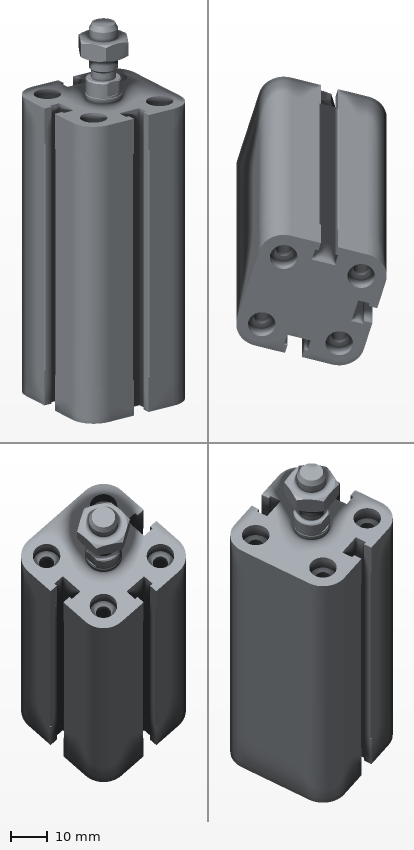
import cadquery as cq
import math


total_height = 109.0
side = 36.0
corner_radius = 7.0
housing_height = 87.0
cap_height = 10.2
barrel_height = housing_height - 2 * cap_height

slot_mouth = 4.9
slot_width = 6.8
slot_lip = 2.4
slot_depth = 5.7
mouth_chamfer = 0.3
slot_angles = (-90, 0, 90)

hole_spacing = side - 2 * corner_radius
hole_diameter = 4.1
counterbore_diameter = 7.5
counterbore_depth = 4.0

rod_diameter = 10.0
rod_base_height = 1.4
collar_diameter = 9.8
collar_top_chamfer = 0.3
collar_top = 93.1
wrench_width = 9.0
wrench_bottom = 89.0
neck_diameter = 6.8
thread_diameter = 8.0
thread_start = 95.4
thread_runout = (thread_diameter - neck_diameter) / 2
tip_chamfer = 1.5
tip_diameter = 6.4

nut_width = 13.0
nut_height = 5.0
nut_bottom = 99.8
hexagon_turn = 30
nut_chamfer_angle = math.radians(30)
nut_face_radius = nut_width / 2
nut_corner_radius = nut_face_radius / math.cos(math.pi / 6)
nut_chamfer_drop = (nut_corner_radius - nut_face_radius) * math.tan(nut_chamfer_angle)


def slot_cutter(height, chamfer=0.0):
    """T-slot prism for the -Y side, with optionally chamfered mouth edges."""
    face = -side / 2
    mouth = slot_mouth / 2
    inner = slot_width / 2
    half = [(mouth + chamfer, face)]
    if chamfer:
        half.append((mouth, face + chamfer))
    half += [
        (mouth, face + slot_lip),
        (inner, face + slot_lip),
        (inner, face + slot_depth),
    ]
    mirrored = [(-x, y) for x, y in reversed(half)]
    return cq.Workplane("XY").polyline(half + mirrored).close().extrude(height)


def profile_block(height, chamfer=0.0):
    """Rounded square block with the three T-slots and four fixing holes."""
    block = cq.Workplane("XY").rect(side, side).extrude(height)
    block = block.edges("|Z").fillet(corner_radius)
    cutter = slot_cutter(height, chamfer)
    for angle in slot_angles:
        block = block.cut(cutter.rotate((0, 0, 0), (0, 0, 1), angle))
    holes = (
        cq.Workplane("XY")
        .rect(hole_spacing, hole_spacing, forConstruction=True)
        .vertices()
        .circle(hole_diameter / 2)
        .extrude(height)
    )
    return block.cut(holes)


def make_barrel():
    """Extruded tube section between the caps."""
    return profile_block(barrel_height, mouth_chamfer).translate((0, 0, cap_height))


def make_end_cap(is_top):
    """End cap at one end of the housing, counterbored from its outer face."""
    counterbores = (
        cq.Workplane("XY")
        .rect(hole_spacing, hole_spacing, forConstruction=True)
        .vertices()
        .circle(counterbore_diameter / 2)
        .extrude(counterbore_depth)
    )
    cap = profile_block(cap_height).cut(counterbores)
    if is_top:
        cap = cap.mirror("XY").translate((0, 0, housing_height))
    return cap


def make_rod():
    """Turned rod that stands on the top cap, with two wrench flats on its collar."""
    base_radius = rod_diameter / 2
    collar_radius = collar_diameter / 2
    neck_radius = neck_diameter / 2
    thread_radius = thread_diameter / 2
    base_top = housing_height + rod_base_height
    profile = [
        (0, housing_height),
        (base_radius, housing_height),
        (base_radius, base_top),
        (collar_radius, base_top + base_radius - collar_radius),
        (collar_radius, collar_top - collar_top_chamfer),
        (collar_radius - collar_top_chamfer, collar_top),
        (neck_radius, collar_top),
        (neck_radius, thread_start),
        (thread_radius, thread_start + thread_runout),
        (thread_radius, total_height - tip_chamfer),
        (tip_diameter / 2, total_height),
        (0, total_height),
    ]
    rod = cq.Workplane("XZ").polyline(profile).close().revolve(360, (0, 0), (0, 1))
    flat_height = collar_top - wrench_bottom
    flats = (
        cq.Workplane("XY", origin=(0, 0, wrench_bottom))
        .rect(2 * rod_diameter, 2 * rod_diameter)
        .rect(wrench_width, 2 * rod_diameter)
        .extrude(flat_height)
    )
    return rod.cut(flats)


def make_nut():
    """Hexagon nut with flats facing +X and -X and both ends chamfered."""
    hexagon = (
        cq.Workplane("XY")
        .polygon(6, 2 * nut_corner_radius)
        .extrude(nut_height)
        .rotate((0, 0, 0), (0, 0, 1), hexagon_turn)
    )
    chamfer_profile = [
        (0, 0),
        (nut_face_radius, 0),
        (nut_corner_radius, nut_chamfer_drop),
        (nut_corner_radius, nut_height - nut_chamfer_drop),
        (nut_face_radius, nut_height),
        (0, nut_height),
    ]
    chamfer_body = cq.Workplane("XZ").polyline(chamfer_profile).close().revolve(360, (0, 0), (0, 1))
    bore = cq.Workplane("XY").circle(thread_diameter / 2).extrude(nut_height)
    return hexagon.intersect(chamfer_body).cut(bore).translate((0, 0, nut_bottom))


barrel = make_barrel()
end_caps = [make_end_cap(is_top) for is_top in (False, True)]
rod = make_rod()
nut = make_nut()

result = cq.Compound.makeCompound(
    [barrel.val(), *[cap.val() for cap in end_caps], rod.val(), nut.val()]
)